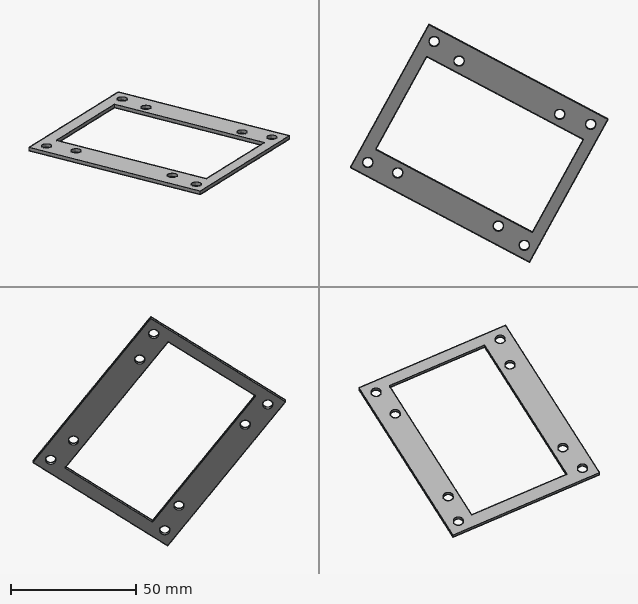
import cadquery as cq

plate_length = 81.3
plate_width = 66.1
plate_thickness = 1.55

window_length = 71.1
window_width = 42.9
window_center = (0.3, 0.3)

hole_diameter = 4.1
corner_spacing_x = 71.0
corner_spacing_y = 55.9
inner_spacing_x = 45.7
inner_spacing_y = 51.7
inner_center = (-0.2, 0.2)


def through_holes(spacing_x, spacing_y, center=(0, 0)):
    """Cutters for four holes at the corners of a rectangle."""
    return (
        cq.Workplane("XY")
        .center(*center)
        .rect(spacing_x, spacing_y, forConstruction=True)
        .vertices()
        .circle(hole_diameter / 2)
        .extrude(plate_thickness)
    )


plate = cq.Workplane("XY").rect(plate_length, plate_width).extrude(plate_thickness)
window = (
    cq.Workplane("XY")
    .center(*window_center)
    .rect(window_length, window_width)
    .extrude(plate_thickness)
)

result = (
    plate.cut(window)
    .cut(through_holes(corner_spacing_x, corner_spacing_y))
    .cut(through_holes(inner_spacing_x, inner_spacing_y, inner_center))
)